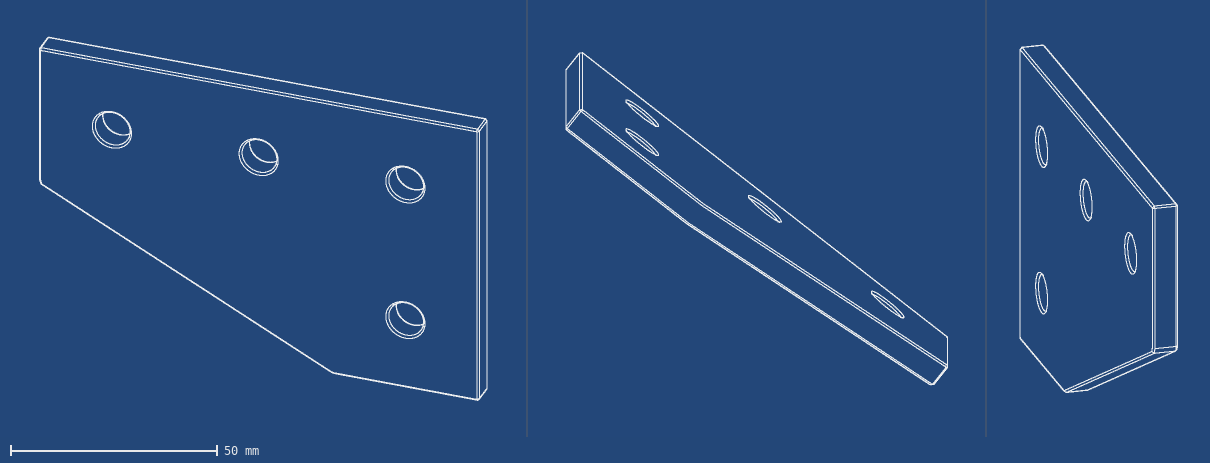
import cadquery as cq

length = 114.0
module = length / 3
height = 2 * module
slope_length = 2 * module
thickness = 6.4
edge_chamfer = 0.5
corner_chamfer = 0.5

slope_chamfer_rise = 1.1
slope_chamfer_run = 0.5

hole_diameter = 9.0
hole_chamfer = 0.6


def plate_blank():
    """Rectangle with its lower-left corner cut off by a sloping edge."""
    slope = module / slope_length
    outline = [
        (0, module + slope_chamfer_rise),
        (slope_chamfer_run, module - slope_chamfer_run * slope),
        (slope_length, 0),
        (length, 0),
        (length, height),
        (0, height),
    ]
    blank = cq.Workplane("XZ").polyline(outline).close().extrude(-thickness)
    blank = blank.faces("<Z or >Z").edges("|Y").chamfer(corner_chamfer)
    return blank.faces("<Y or >Y").chamfer(edge_chamfer)


def hole_cutter(x, z):
    """Through hole with a chamfered mouth on each side."""
    radius = hole_diameter / 2
    mouth_radius = radius + hole_chamfer
    profile = [
        (0, 0),
        (mouth_radius, 0),
        (radius, hole_chamfer),
        (radius, thickness - hole_chamfer),
        (mouth_radius, thickness),
        (0, thickness),
    ]
    cutter = cq.Workplane("XY").polyline(profile).close().revolve(360, (0, 0), (0, 1))
    return cutter.translate((x, 0, z))


low_row = module / 2
high_row = low_row + module
hole_centres = [(low_row + column * module, high_row) for column in range(3)]
hole_centres.append((length - module / 2, low_row))

result = plate_blank()
for hole_x, hole_z in hole_centres:
    result = result.cut(hole_cutter(hole_x, hole_z))